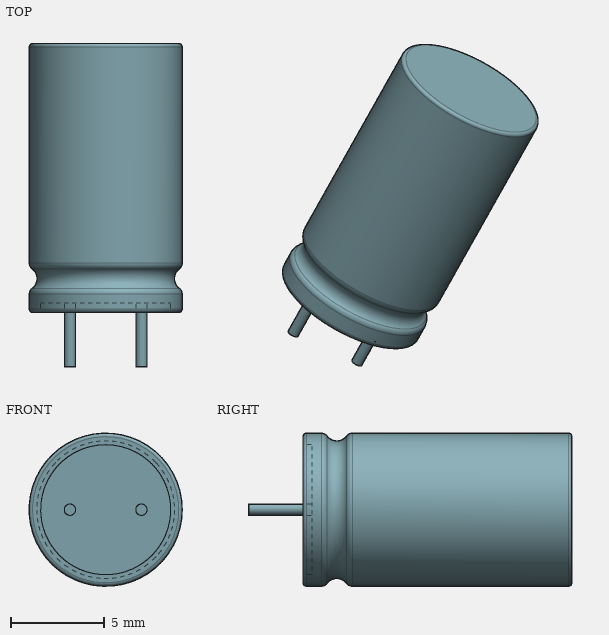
import cadquery as cq
import math

total_length = 17.3
can_diameter = 8.2
lead_length = 2.9
lead_diameter = 0.6
lead_spacing = 3.82
edge_radius = 0.19
groove_center = 1.82
groove_depth = 0.42
groove_half_width = 0.52
shoulder_width = 0.31
recess_diameter = 6.95
recess_depth = 0.5

can_radius = can_diameter / 2
can_length = total_length - lead_length

shoulder_angle = 2 * math.atan(groove_depth / (groove_half_width + shoulder_width))
shoulder_radius = shoulder_width / math.sin(shoulder_angle)
shoulder_drop = shoulder_radius * (1 - math.cos(shoulder_angle))
shoulder_mid_drop = shoulder_radius * (1 - math.cos(shoulder_angle / 2))
shoulder_mid_width = shoulder_radius * math.sin(shoulder_angle / 2)


def shoulder_points(side):
    """Wall, middle and groove points of the shoulder below (-1) or above (+1) the groove."""
    wall_y = groove_center + side * (groove_half_width + shoulder_width)
    wall = (can_radius, wall_y)
    middle = (can_radius - shoulder_mid_drop, wall_y - side * shoulder_mid_width)
    groove = (can_radius - shoulder_drop, groove_center + side * groove_half_width)
    return wall, middle, groove


def make_can():
    """Revolve the grooved can about Y and round both end edges."""
    lower_wall, lower_middle, lower_groove = shoulder_points(-1)
    upper_wall, upper_middle, upper_groove = shoulder_points(1)
    groove_bottom = (can_radius - groove_depth, groove_center)
    profile = (
        cq.Workplane("XY")
        .lineTo(can_radius, 0)
        .lineTo(*lower_wall)
        .threePointArc(lower_middle, lower_groove)
        .threePointArc(groove_bottom, upper_groove)
        .threePointArc(upper_middle, upper_wall)
        .lineTo(can_radius, can_length)
        .lineTo(0, can_length)
        .close()
    )
    can = profile.revolve(360, (0, 0), (0, 1))
    return can.faces("<Y or >Y").edges().fillet(edge_radius)


def cylinder_along_y(diameter, start, end, x=0):
    """Cylinder parallel to Y between two Y positions."""
    solid = cq.Solid.makeCylinder(diameter / 2, end - start, cq.Vector(x, start, 0), cq.Vector(0, 1, 0))
    return cq.Workplane(obj=solid)


result = make_can().cut(cylinder_along_y(recess_diameter, 0, recess_depth))

for side in (-1, 1):
    lead = cylinder_along_y(lead_diameter, -lead_length, recess_depth, side * lead_spacing / 2)
    result = result.union(lead)